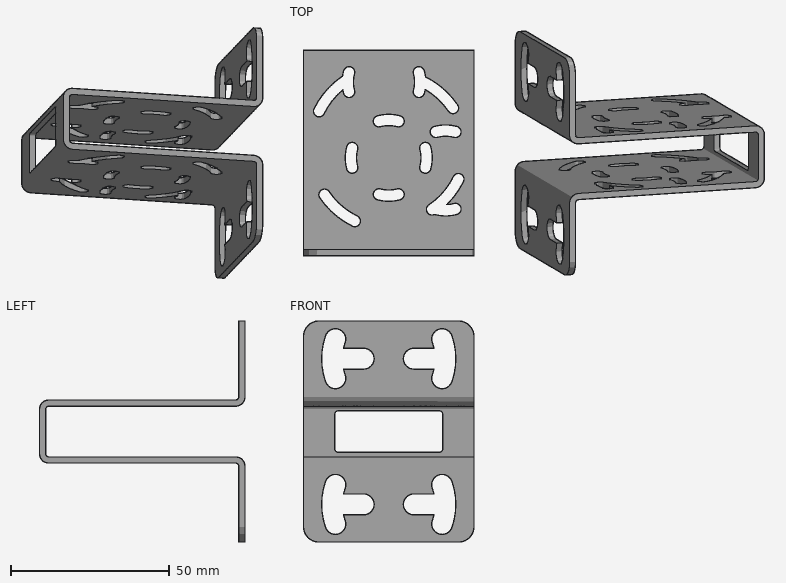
import cadquery as cq
import math

width = 54.0
depth = 65.0
height = 70.0
thickness = 2.0
channel_height = 20.0
inner_bend_radius = 1.0
outer_bend_radius = inner_bend_radius + thickness
flange_corner_radius = 5.0

through_cut = 2 * thickness

window_width = 34.0
window_height = 13.0
window_corner_radius = 1.0

keyhole_slot_width = 6.5
keyhole_edge_distance = 12.0
keyhole_arc_offset = 17.9
keyhole_arc_radius = 18.8
keyhole_arc_half_angle = 19.2
keyhole_inner_end = 7.9

shelf_slot_width = 3.5
shelf_slot_half_angle = 15.0
small_arc_radius = 12.0
large_arc_radius = 24.5
large_arc_tilt = 49.0

ring_centre = (0, 31.0)
small_slots = [(ring_centre, direction) for direction in (0, 90, 180, 270)]
small_slots += [
    ((18.0, 27.65), 90),
    ((18.0, 26.4), 270),
    ((-2.0, 54.95), 0),
    ((-1.0, 54.95), 180),
]

front_diagonal_centre = (0, 33.05)
rear_diagonal_centre = (0, 35.0)
large_slots = [
    (front_diagonal_centre, large_arc_tilt),
    (front_diagonal_centre, large_arc_tilt + 180),
    (rear_diagonal_centre, large_arc_tilt + 90),
    (rear_diagonal_centre, large_arc_tilt - 90),
]


def polar(centre, radius, angle):
    """Point at a radius and an angle in degrees from a centre."""
    turn = math.radians(angle)
    return (centre[0] + radius * math.cos(turn), centre[1] + radius * math.sin(turn))


def arc_slot(plane, centre, radius, direction, half_angle, slot_width, length):
    """Solid of a round-ended arc slot, reaching the given length to each side of the plane."""
    outer = radius + slot_width / 2
    inner = radius - slot_width / 2
    start = direction - half_angle
    end = direction + half_angle
    return (
        cq.Workplane(plane)
        .moveTo(*polar(centre, outer, start))
        .threePointArc(polar(centre, outer, direction), polar(centre, outer, end))
        .tangentArcPoint(polar(centre, inner, end), relative=False)
        .threePointArc(polar(centre, inner, direction), polar(centre, inner, start))
        .tangentArcPoint(polar(centre, outer, start), relative=False)
        .close()
        .extrude(length, both=True)
    )


def bent_sheet():
    """Channel open to the front, with one flange turned up and one turned down."""
    outside = channel_height / 2
    inside = outside - thickness
    top = height / 2
    upper = [
        (depth, outside),
        (thickness, outside),
        (thickness, top),
        (0, top),
        (0, inside),
        (depth - thickness, inside),
    ]
    lower = [(y, -z) for y, z in reversed(upper)]
    sheet = cq.Workplane("YZ").polyline(upper + lower).close().extrude(width / 2, both=True)

    bends = [
        (depth, outside, outer_bend_radius),
        (depth - thickness, inside, inner_bend_radius),
        (0, inside, outer_bend_radius),
        (thickness, outside, inner_bend_radius),
    ]
    for side in (1, -1):
        for y, z, radius in bends:
            corner = cq.NearestToPointSelector((0, y, side * z))
            sheet = sheet.edges(corner).fillet(radius)
        flange_end = ">Z" if side > 0 else "<Z"
        sheet = sheet.faces(flange_end).edges("|Y").fillet(flange_corner_radius)
    return sheet


def web_window():
    """Rounded rectangular opening in the back web."""
    return (
        cq.Workplane("XZ", origin=(0, depth, 0))
        .rect(window_width, window_height)
        .extrude(through_cut, both=True)
        .edges("|Y")
        .fillet(window_corner_radius)
    )


def keyhole(x_side, z_side):
    """One flange keyhole; its arc bulges towards the outer side of the bracket."""
    z = z_side * (height / 2 - keyhole_edge_distance)
    arc_centre = (x_side * (keyhole_arc_offset - keyhole_arc_radius), z)
    arc = arc_slot(
        "XZ", arc_centre, keyhole_arc_radius, 0 if x_side > 0 else 180,
        keyhole_arc_half_angle, keyhole_slot_width, through_cut,
    )
    neck_length = keyhole_arc_offset - keyhole_inner_end
    neck_middle = x_side * (keyhole_arc_offset + keyhole_inner_end) / 2
    neck = (
        cq.Workplane("XZ")
        .center(neck_middle, z)
        .slot2D(neck_length + keyhole_slot_width, keyhole_slot_width)
        .extrude(through_cut, both=True)
    )
    return arc.union(neck)


def shelf_slot(centre, radius, direction):
    """Arc slot that passes through both shelves."""
    return arc_slot(
        "XY", centre, radius, direction, shelf_slot_half_angle, shelf_slot_width, channel_height
    )


result = bent_sheet().cut(web_window())

for x_side in (1, -1):
    for z_side in (1, -1):
        result = result.cut(keyhole(x_side, z_side))

for centre, direction in small_slots:
    result = result.cut(shelf_slot(centre, small_arc_radius, direction))

for centre, direction in large_slots:
    result = result.cut(shelf_slot(centre, large_arc_radius, direction))